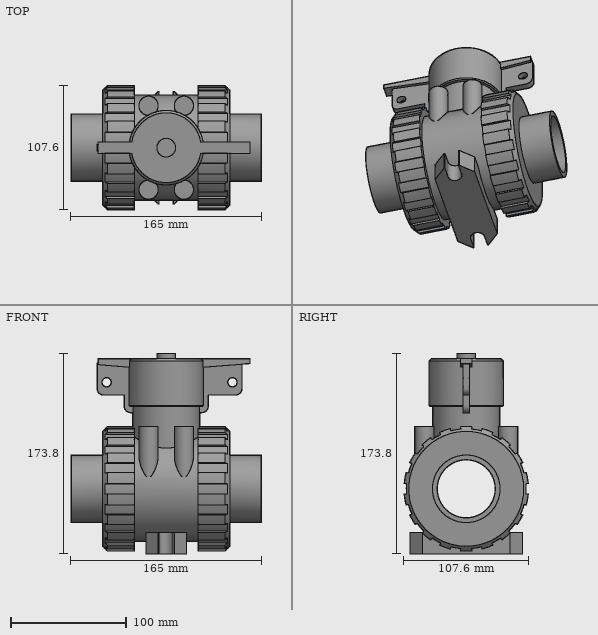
import cadquery as cq
import math


overall_height = 173.8

pipe_length = 165.0
pipe_diameter = 58.5
bore_diameter = 50.0
body_diameter = 91.5

nut_inner_x = 27.6
nut_outer_x = 55.1
nut_length = nut_outer_x - nut_inner_x
nut_diameter = 108.0
nut_radius = nut_diameter / 2
nut_groove_radius = 52.0
nut_chamfer = 4.2
tooth_count = 18
tooth_pitch = 360 / tooth_count
tooth_angle = 10.4

neck_diameter = 58.2
cap_diameter = 64.7
cap_bottom_z = 71.3
cap_top_z = 112.8
cap_top_chamfer = 2.0
cap_bottom_chamfer = 1.0
stem_diameter = 16.2
stem_top_z = 117.3

post_diameter = 16.7
post_x = 15.3
post_y = 36.3
post_top_z = 54.0

lever_width = 9.9
lever_left_x = -59.0
lever_right_x = 72.7
lever_left_end_z = 107.6
lever_right_end_z = 108.5
lever_root_z = 105.3
lever_root_x = cap_diameter / 2

plate_thickness = 5.5
plate_left_x = -60.0
plate_right_x = 65.7
plate_top_z = 109.0
plate_bottom_z = 81.2
tab_half_width = 36.5
tab_bottom_z = 65.9
plate_corner_radius = 5.7
plate_hole_diameter = 7.8
plate_hole_inset = 8.3
plate_hole_z = 92.3

foot_width = 35.5
foot_length = 97.7
foot_bottom_z = stem_top_z - overall_height
foot_top_z = -37.7
foot_chamfer = 10.8
slot_width = 12.2
slot_center_y = 38.2


def rod_x(diameter, length):
    """Cylinder along X, centred on the origin."""
    return cq.Workplane("YZ", origin=(-length / 2, 0, 0)).circle(diameter / 2).extrude(length)


def rod_z(diameter, bottom_z, top_z):
    """Upright cylinder on the stem axis."""
    return cq.Workplane("XY").workplane(offset=bottom_z).circle(diameter / 2).extrude(top_z - bottom_z)


def polar(radius, degrees):
    angle = math.radians(degrees)
    return (radius * math.cos(angle), radius * math.sin(angle))


def make_nut():
    """Grip nut on the +X side, with teeth bevelled at the outer face."""
    outline = cq.Workplane("YZ").workplane(offset=nut_inner_x)
    outline = outline.moveTo(*polar(nut_groove_radius, -tooth_pitch / 2 + tooth_angle / 2))
    for index in range(tooth_count):
        groove_middle = index * tooth_pitch
        tooth_middle = groove_middle + tooth_pitch / 2
        tooth_start = tooth_middle - tooth_angle / 2
        tooth_end = tooth_middle + tooth_angle / 2
        outline = (
            outline.threePointArc(polar(nut_groove_radius, groove_middle), polar(nut_groove_radius, tooth_start))
            .lineTo(*polar(nut_radius, tooth_start))
            .threePointArc(polar(nut_radius, tooth_middle), polar(nut_radius, tooth_end))
            .lineTo(*polar(nut_groove_radius, tooth_end))
        )
    toothed = outline.close().extrude(nut_length)
    envelope = (
        cq.Workplane("YZ")
        .workplane(offset=nut_inner_x)
        .circle(nut_radius)
        .extrude(nut_length)
        .faces(">X")
        .chamfer(nut_chamfer)
    )
    return toothed.intersect(envelope)


def make_cap():
    cap = rod_z(cap_diameter, cap_bottom_z, cap_top_z)
    return cap.faces(">Z").chamfer(cap_top_chamfer).faces("<Z").chamfer(cap_bottom_chamfer)


def make_posts():
    corners = [(x, y) for x in (-post_x, post_x) for y in (-post_y, post_y)]
    return cq.Workplane("XY").pushPoints(corners).circle(post_diameter / 2).extrude(post_top_z)


def make_lever():
    """Flat-topped bar whose underside deepens from both ends towards the cap."""
    return (
        cq.Workplane("XZ", origin=(0, lever_width / 2, 0))
        .moveTo(lever_left_x, cap_top_z)
        .lineTo(lever_right_x, cap_top_z)
        .lineTo(lever_right_x, lever_right_end_z)
        .lineTo(lever_root_x, lever_root_z)
        .lineTo(-lever_root_x, lever_root_z)
        .lineTo(lever_left_x, lever_left_end_z)
        .close()
        .extrude(lever_width)
    )


def plate_block(left_x, right_x, bottom_z):
    """Plate with its two lower corners rounded."""
    return (
        cq.Workplane("XY")
        .box(right_x - left_x, plate_thickness, plate_top_z - bottom_z)
        .translate(((left_x + right_x) / 2, 0, (plate_top_z + bottom_z) / 2))
        .edges("|Y and <Z")
        .fillet(plate_corner_radius)
    )


def make_plate():
    wings = plate_block(plate_left_x, plate_right_x, plate_bottom_z)
    tab = plate_block(-tab_half_width, tab_half_width, tab_bottom_z)
    hole_centers = [
        (plate_left_x + plate_hole_inset, plate_hole_z),
        (plate_right_x - plate_hole_inset, plate_hole_z),
    ]
    holes = (
        cq.Workplane("XZ", origin=(0, plate_thickness / 2, 0))
        .pushPoints(hole_centers)
        .circle(plate_hole_diameter / 2)
        .extrude(plate_thickness)
    )
    return wings.union(tab).cut(holes)


def make_foot():
    """Chamfered block with a round-ended slot open at each Y end."""
    height = foot_top_z - foot_bottom_z
    foot = (
        cq.Workplane("XY")
        .workplane(offset=foot_bottom_z)
        .rect(foot_width, foot_length)
        .extrude(height)
        .edges("|Z")
        .chamfer(foot_chamfer)
    )
    slot_length = foot_length / 2 - slot_center_y + 2 * slot_width
    slot_middle_y = slot_center_y + (slot_length - slot_width) / 2
    slots = (
        cq.Workplane("XY")
        .workplane(offset=foot_bottom_z)
        .pushPoints([(0, -slot_middle_y), (0, slot_middle_y)])
        .slot2D(slot_length, slot_width, 90)
        .extrude(height)
    )
    return foot.cut(slots)


nut = make_nut()

result = (
    rod_x(body_diameter, 2 * nut_outer_x)
    .union(rod_x(pipe_diameter, pipe_length))
    .union(nut)
    .union(nut.mirror("YZ"))
    .union(rod_z(neck_diameter, 0, cap_bottom_z))
    .union(make_posts())
    .union(make_foot())
    .union(make_cap())
    .union(make_lever())
    .union(make_plate())
    .union(rod_z(stem_diameter, cap_bottom_z, stem_top_z))
    .cut(rod_x(bore_diameter, pipe_length))
)